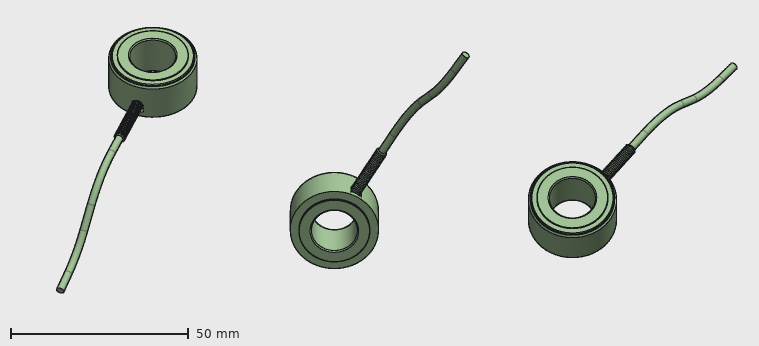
import cadquery as cq
import math

ring_height = 12.83
ring_diameter = 24.89
bore_diameter = 12.95
bore_chamfer = 0.38
pad_face_diameter = 19.81
pad_chamfer = 0.13
lower_pad_height = 0.57
upper_pad_height = 0.25

cover_top_diameter = 22.86
cover_diameter = 23.37
seat_diameter = 23.42
gap_depth = 0.25
rim_drop = 0.66
rim_chamfer = 0.51

cable_axis_z = 4.58
recess_width = 3.43
recess_drop = 2.29
recess_depth = 1.60

coil_diameter = 3.18
coil_pitch = 0.508
bead_height = 0.20
coil_end_y = -26.77

cable_diameter = 2.26
bend_start_y = -33.02
bend_radius = 25.40
slope_angle = math.radians(39.34)
end_angle = math.radians(8.4)
slope_length = 7.62
end_length = 6.35

ring_radius = ring_diameter / 2
recess_floor_y = -(ring_radius - recess_depth)


def make_ring():
    """Revolve the ring with its chamfered pads, bevelled cover, seat gap and bore."""
    bore_radius = bore_diameter / 2
    mouth_radius = bore_radius + bore_chamfer
    pad_face_radius = pad_face_diameter / 2
    pad_radius = pad_face_radius + pad_chamfer
    cover_top_radius = cover_top_diameter / 2
    cover_radius = cover_diameter / 2
    seat_radius = seat_diameter / 2
    cover_bevel = cover_radius - cover_top_radius
    cover_z = ring_height - upper_pad_height
    rim_z = ring_height - rim_drop
    gap_floor_z = rim_z - gap_depth
    profile = [
        (bore_radius, bore_chamfer),
        (mouth_radius, 0),
        (pad_face_radius, 0),
        (pad_radius, pad_chamfer),
        (pad_radius, lower_pad_height),
        (ring_radius, lower_pad_height),
        (ring_radius, rim_z - rim_chamfer),
        (ring_radius - rim_chamfer, rim_z),
        (seat_radius, rim_z),
        (seat_radius, gap_floor_z),
        (cover_radius, gap_floor_z),
        (cover_radius, cover_z - cover_bevel),
        (cover_top_radius, cover_z),
        (pad_radius, cover_z),
        (pad_radius, ring_height - pad_chamfer),
        (pad_face_radius, ring_height),
        (mouth_radius, ring_height),
        (bore_radius, ring_height - bore_chamfer),
    ]
    return cq.Workplane("XZ").polyline(profile).close().revolve(360, (0, 0, 0), (0, 1, 0))


def make_recess():
    """Round-topped, flat-bottomed pocket cutter for the cable exit."""
    half_width = recess_width / 2
    return (
        cq.Workplane("XZ", origin=(0, recess_floor_y, cable_axis_z))
        .moveTo(-half_width, -recess_drop)
        .lineTo(half_width, -recess_drop)
        .lineTo(half_width, 0)
        .threePointArc((0, half_width), (-half_width, 0))
        .close()
        .extrude(2 * recess_depth)
    )


def make_coil():
    """Revolve a row of rounded beads about the cable axis, rooted just behind the recess floor."""
    crest_radius = coil_diameter / 2
    root_radius = crest_radius - bead_height
    bead_count = math.ceil((recess_floor_y - coil_end_y) / coil_pitch)
    first_y = coil_end_y + bead_count * coil_pitch
    profile = cq.Workplane("XY").moveTo(0, coil_end_y).lineTo(root_radius, coil_end_y)
    for bead in range(bead_count):
        bead_y = coil_end_y + bead * coil_pitch
        profile = profile.threePointArc(
            (crest_radius, bead_y + coil_pitch / 2),
            (root_radius, bead_y + coil_pitch),
        )
    coil = profile.lineTo(0, first_y).close().revolve(360, (0, 0, 0), (0, 1, 0))
    return coil.translate((0, 0, cable_axis_z))


def bend_point(centre, angle, side):
    """Point (Y, Z) of a bend where the cable slopes down at angle; side is +1 above its centre."""
    y = centre[0] - side * bend_radius * math.sin(angle)
    z = centre[1] + side * bend_radius * math.cos(angle)
    return (y, z)


def advance(point, angle, length):
    """Move a (Y, Z) point along the cable, which runs to -Y and slopes down at angle."""
    return (point[0] - length * math.cos(angle), point[1] - length * math.sin(angle))


def make_cable():
    """Sweep the cable section along its S-shaped centreline in the YZ plane."""
    start = (recess_floor_y, cable_axis_z)
    upper_start = (bend_start_y, cable_axis_z)
    upper_centre = (bend_start_y, cable_axis_z - bend_radius)
    upper_mid = bend_point(upper_centre, slope_angle / 2, 1)
    upper_end = bend_point(upper_centre, slope_angle, 1)

    lower_start = advance(upper_end, slope_angle, slope_length)
    lower_centre = (
        lower_start[0] - bend_radius * math.sin(slope_angle),
        lower_start[1] + bend_radius * math.cos(slope_angle),
    )
    lower_mid = bend_point(lower_centre, (slope_angle + end_angle) / 2, -1)
    lower_end = bend_point(lower_centre, end_angle, -1)
    tip = advance(lower_end, end_angle, end_length)

    path = (
        cq.Workplane("YZ")
        .moveTo(*start)
        .lineTo(*upper_start)
        .threePointArc(upper_mid, upper_end)
        .lineTo(*lower_start)
        .threePointArc(lower_mid, lower_end)
        .lineTo(*tip)
    )
    section = cq.Workplane("XZ", origin=(0, start[0], start[1])).circle(cable_diameter / 2)
    return section.sweep(path)


result = make_ring().cut(make_recess()).union(make_coil()).union(make_cable())